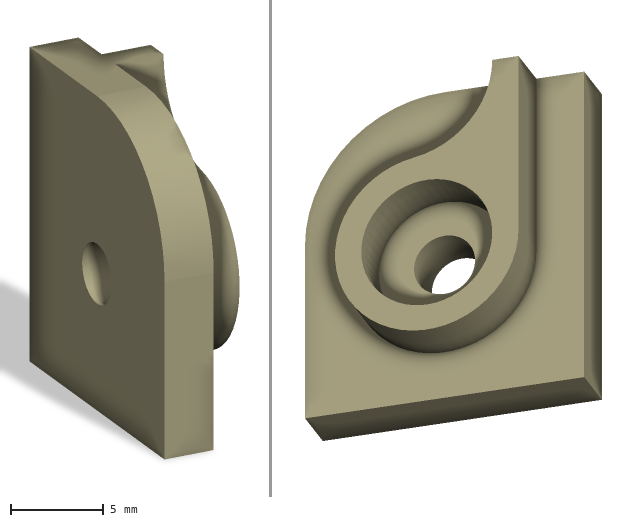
import cadquery as cq
import math

width = 16.0
height = 18.39
plate_thickness = 3.0
corner_radius = width / 2
hole_diameter = 3.5

total_depth = 6.0
ring_inner_diameter = 7.5
wall = 1.5
ring_radius = ring_inner_diameter / 2 + wall
center_x = width / 2
center_z = width / 2


def extrude_back(outline, start_y, depth):
    """Extrude a closed XZ outline from start_y toward +Y."""
    return outline.extrude(-depth).translate((0, start_y, 0))


def make_plate():
    outline = (
        cq.Workplane("XZ")
        .lineTo(width, 0)
        .lineTo(width, height - corner_radius)
        .radiusArc((width - corner_radius, height), -corner_radius)
        .lineTo(0, height)
        .close()
    )
    return extrude_back(outline, 0, plate_thickness)


def make_ring_and_arm():
    arm_left = center_x - ring_radius
    arm_right = arm_left + wall

    blend_rise = height - center_z
    ring_offset = center_x - arm_right
    blend_radius = (blend_rise**2 + ring_offset**2 - ring_radius**2) / (2 * (ring_radius + ring_offset))
    blend_x = arm_right + blend_radius
    touch_share = ring_radius / (ring_radius + blend_radius)
    touch = (
        center_x + touch_share * (blend_x - center_x),
        center_z + touch_share * blend_rise,
    )
    blend_half_angle = math.atan2(height - touch[1], blend_x - touch[0]) / 2
    blend_middle = (
        blend_x - blend_radius * math.cos(blend_half_angle),
        height - blend_radius * math.sin(blend_half_angle),
    )

    arm = (
        cq.Workplane("XZ")
        .moveTo(arm_left, center_z)
        .lineTo(arm_left, height)
        .lineTo(arm_right, height)
        .threePointArc(blend_middle, touch)
        .lineTo(center_x, center_z)
        .close()
    )
    ring = cq.Workplane("XZ").center(center_x, center_z).circle(ring_radius)
    recess = cq.Workplane("XZ").center(center_x, center_z).circle(ring_inner_diameter / 2)

    depth = total_depth - plate_thickness
    raised = extrude_back(arm, plate_thickness, depth).union(extrude_back(ring, plate_thickness, depth))
    return raised.cut(extrude_back(recess, plate_thickness, depth))


hole = extrude_back(
    cq.Workplane("XZ").center(center_x, center_z).circle(hole_diameter / 2), 0, plate_thickness
)
result = make_plate().union(make_ring_and_arm()).cut(hole)